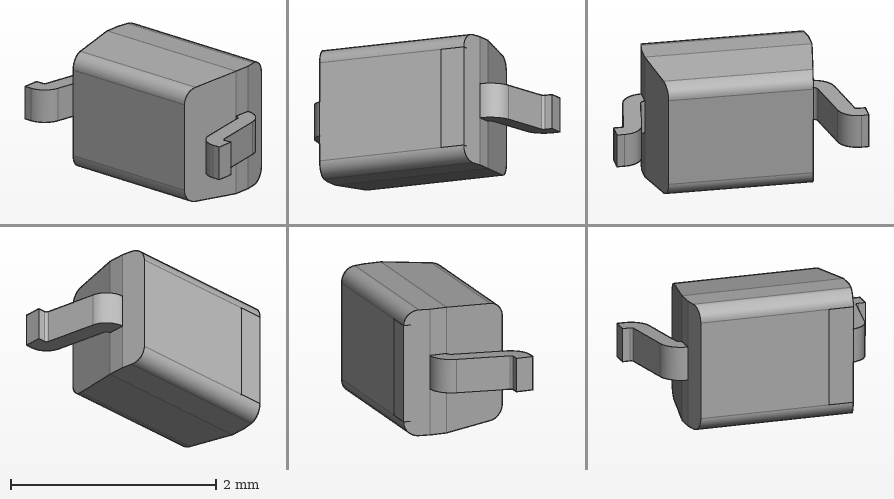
import cadquery as cq
import math


length = 2.5
height = 1.17
housing_width = 1.28

standoff = 0.1
band_length = 1.66
end_draft = math.radians(10)
side_draft = math.radians(5)
edge_radius = 0.15
half_band = band_length / 2

lead_width = 0.34
lead_thickness = 0.175
lead_top = 0.912
lead_bottom = lead_top - lead_thickness
half_top = half_band - (height - lead_top) * math.tan(end_draft)
upper_inner_radius = 0.05
lower_inner_radius = 0.03
leg_lean = math.radians(10)

mark_length = 0.25
mark_depth = 0.1
mark_width = housing_width - 2 * edge_radius


def make_housing():
    """Intersect the drafted length outline with the rounded, drafted cross-section."""
    half_bottom = half_band - (lead_bottom - standoff) * math.tan(end_draft)
    right_side = [
        (half_bottom, standoff),
        (half_band, lead_bottom),
        (half_band, lead_top),
        (half_top, height),
    ]
    left_side = [(-x, y) for x, y in reversed(right_side)]
    lengthwise = (
        cq.Workplane("XY")
        .polyline(right_side + left_side)
        .close()
        .extrude(housing_width / 2, both=True)
    )

    half_width = housing_width / 2
    half_base = half_width - (lead_bottom - standoff) * math.tan(side_draft)
    cross_section = (
        cq.Workplane("YZ")
        .polyline([
            (standoff, -half_base),
            (lead_bottom, -half_width),
            (height, -half_width),
            (height, half_width),
            (lead_bottom, half_width),
            (standoff, half_base),
        ])
        .close()
        .extrude(half_band, both=True)
        .faces("<Y or >Y")
        .edges("|X")
        .fillet(edge_radius)
    )
    return lengthwise.intersect(cross_section)


def make_mark():
    """Bar that starts at the -X edge of the top face and lies flush with it."""
    return cq.Workplane("XY").box(mark_length, mark_depth, mark_width).translate(
        (-half_top + mark_length / 2, height - mark_depth / 2, 0)
    )


def polar(center, radius, angle):
    """Point at a radius and angle from a center."""
    return (center[0] + radius * math.cos(angle), center[1] + radius * math.sin(angle))


def make_lead():
    """Lead on the +X end, starting flush against the housing band."""
    upper_outer_radius = upper_inner_radius + lead_thickness
    lower_outer_radius = lower_inner_radius + lead_thickness

    upper_center = (half_band, lead_bottom - upper_inner_radius)
    lower_center_y = lead_thickness + lower_inner_radius
    center_drop = upper_center[1] - lower_center_y
    center_spread = upper_outer_radius + lower_inner_radius
    leg_length = (center_drop + center_spread * math.sin(leg_lean)) / math.cos(leg_lean)
    center_shift = center_spread * math.cos(leg_lean) + leg_length * math.sin(leg_lean)
    lower_center = (upper_center[0] + center_shift, lower_center_y)

    upper_start = math.pi / 2
    upper_end = leg_lean
    upper_middle = (upper_start + upper_end) / 2
    lower_start = math.pi + leg_lean
    lower_end = 3 * math.pi / 2
    lower_middle = (lower_start + lower_end) / 2

    return (
        cq.Workplane("XY")
        .workplane(offset=-lead_width / 2)
        .moveTo(*polar(upper_center, upper_outer_radius, upper_start))
        .threePointArc(
            polar(upper_center, upper_outer_radius, upper_middle),
            polar(upper_center, upper_outer_radius, upper_end),
        )
        .lineTo(*polar(lower_center, lower_inner_radius, lower_start))
        .threePointArc(
            polar(lower_center, lower_inner_radius, lower_middle),
            polar(lower_center, lower_inner_radius, lower_end),
        )
        .lineTo(length / 2, lead_thickness)
        .lineTo(length / 2, 0)
        .lineTo(*polar(lower_center, lower_outer_radius, lower_end))
        .threePointArc(
            polar(lower_center, lower_outer_radius, lower_middle),
            polar(lower_center, lower_outer_radius, lower_start),
        )
        .lineTo(*polar(upper_center, upper_inner_radius, upper_end))
        .threePointArc(
            polar(upper_center, upper_inner_radius, upper_middle),
            polar(upper_center, upper_inner_radius, upper_start),
        )
        .close()
        .extrude(lead_width)
    )


mark = make_mark()
housing = make_housing().cut(mark)

leads = []
for turn in (0, 180):
    lead = make_lead().rotate((0, 0, 0), (0, 1, 0), turn)
    leads.append(lead.val())

result = cq.Compound.makeCompound([housing.val(), mark.val(), *leads])